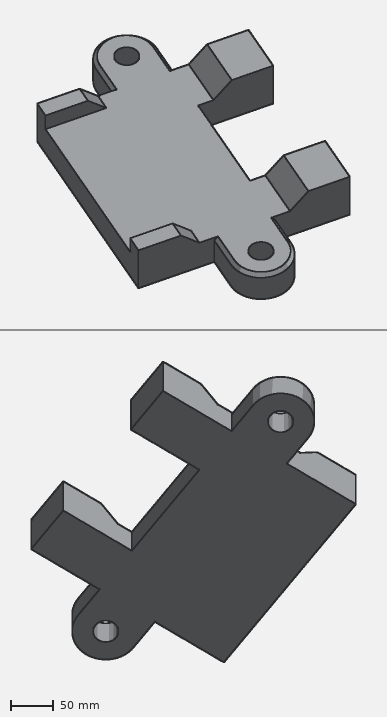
import cadquery as cq

length = 440.0
depth = 278.0
height = 64.0

plate_width = 272.0
plate_thickness = 41.0

ear_diameter = 79.5
ear_chamfer = 5.0
hole_diameter = 30.0
ear_y = 0.5
hole_spacing = length - ear_diameter

ramp_run = 24.0
rear_arm_width = 66.5
rear_flat = 54.5
front_post_width = 22.5
front_flat = 56.0

front_y = -depth / 2
rear_y = depth / 2
arm_root_y = ear_y + ear_diameter / 2


def make_ears():
    """Rounded bar across the part, chamfered on top, whose ends form the ears."""
    bar = cq.Workplane("XY").center(0, ear_y).slot2D(length, ear_diameter).extrude(plate_thickness)
    return bar.faces(">Z").chamfer(ear_chamfer)


def make_plate():
    """Central plate from the front edge to the roots of the rear arms."""
    return (
        cq.Workplane("XY")
        .box(plate_width, arm_root_y - front_y, plate_thickness, centered=(True, False, False))
        .translate((0, front_y, 0))
    )


def extrude_side_profile(points, width, x_start):
    """Extrude a closed YZ profile along +X from x_start."""
    return cq.Workplane("YZ", origin=(x_start, 0, 0)).polyline(points).close().extrude(width)


rear_arm_profile = [
    (arm_root_y, 0),
    (rear_y, 0),
    (rear_y, height),
    (rear_y - rear_flat, height),
    (rear_y - rear_flat - ramp_run, plate_thickness),
    (arm_root_y, plate_thickness),
]

front_post_profile = [
    (front_y, 0),
    (front_y, height),
    (front_y + front_flat, height),
    (front_y + front_flat + ramp_run, plate_thickness),
    (front_y + front_flat + ramp_run, 0),
]

result = make_ears().union(make_plate())

for profile, width in ((rear_arm_profile, rear_arm_width), (front_post_profile, front_post_width)):
    for x_start in (-plate_width / 2, plate_width / 2 - width):
        result = result.union(extrude_side_profile(profile, width, x_start))

holes = (
    cq.Workplane("XY")
    .pushPoints([(-hole_spacing / 2, ear_y), (hole_spacing / 2, ear_y)])
    .circle(hole_diameter / 2)
    .extrude(plate_thickness)
)
result = result.cut(holes).clean()